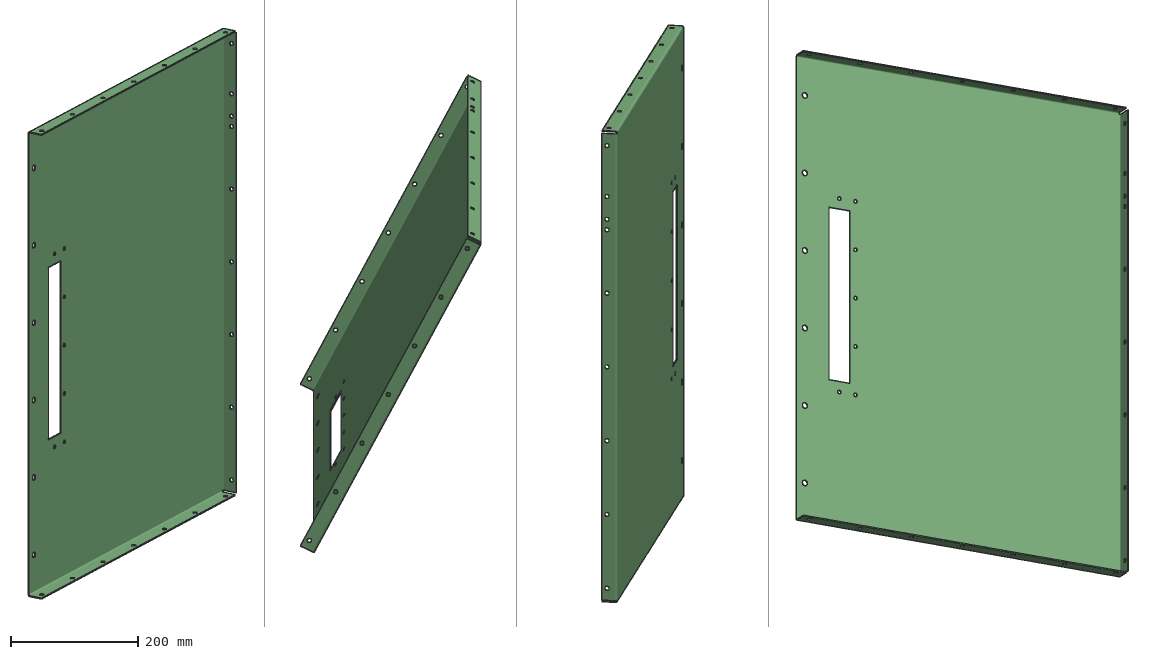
import cadquery as cq

depth = 25.0
width = 578.9
height = 775.0
thickness = 2.0
bend_radius_inner = 2.0
bend_radius_outer = bend_radius_inner + thickness
corner_notch = bend_radius_outer

flange_hole_diameter = 6.6
flange_hole_x = 16.5
side_hole_pitch = 121.25
side_hole_steps = (-3, -2, -1, 0, 1, 3)
side_extra_hole_z = (225.5, 242.5, 280.0)
top_hole_pitch = 90.9
top_hole_count = 7
top_hole_row_center_y = -corner_notch / 2

edge_hole_diameter = 9.0
edge_hole_inset = 15.0
edge_hole_pitch = 129.0
edge_hole_count = 6

window_width = 37.0
window_height = 287.0
window_y = -213.0
small_hole_diameter = 5.8
small_hole_pitch = 80.5
small_column_offset = 28.7
small_column_y = window_y + small_column_offset
small_column_steps = (-2, -1, 0, 1, 2)
window_end_steps = (-2, 2)

y_open = -width / 2
y_side = width / 2
z_top = height / 2


def hollow_box(offset, edge_radius):
    """Box inset by `offset` on the face and flanged edges, open-sided to -Y and +X."""
    x_size = depth - offset
    y_size = width - offset
    z_size = height - 2 * offset
    box = cq.Workplane("XY").box(x_size, y_size, z_size, centered=(False, False, True))
    box = box.translate((offset, y_open, 0))
    bend_edges = box.edges("(<X and |Y) or (<X and >Y)")
    return bend_edges.fillet(edge_radius)


def folded_sheet():
    """Panel face with its bent flanges: an outer box less a box one thickness further in."""
    return hollow_box(0, bend_radius_outer).cut(hollow_box(thickness, bend_radius_inner))


def corner_notches():
    """Square columns along X that separate the +Y flange from the top and bottom flanges."""
    size = 2 * corner_notch
    corners = [(y_side, z_top), (y_side, -z_top)]
    return cq.Workplane("YZ").pushPoints(corners).rect(size, size).extrude(depth)


def row(count, pitch):
    """Evenly spaced positions centred on zero."""
    return [(i - (count - 1) / 2) * pitch for i in range(count)]


def face_holes(points, diameter):
    """Cylinders along X through the panel face at (y, z) points."""
    return cq.Workplane("YZ").pushPoints(points).circle(diameter / 2).extrude(bend_radius_outer)


def side_flange_holes():
    heights = [step * side_hole_pitch for step in side_hole_steps]
    heights += side_extra_hole_z
    points = [(flange_hole_x, z) for z in heights]
    holes = cq.Workplane("XZ", origin=(0, y_side, 0)).pushPoints(points)
    return holes.circle(flange_hole_diameter / 2).extrude(bend_radius_outer)


def top_flange_holes():
    """Holes drilled in line through both the top and the bottom flange."""
    points = [(flange_hole_x, top_hole_row_center_y + y) for y in row(top_hole_count, top_hole_pitch)]
    holes = cq.Workplane("XY", origin=(0, 0, -z_top)).pushPoints(points)
    return holes.circle(flange_hole_diameter / 2).extrude(height)


def edge_holes():
    points = [(y_open + edge_hole_inset, z) for z in row(edge_hole_count, edge_hole_pitch)]
    return face_holes(points, edge_hole_diameter)


def small_holes():
    points = [(small_column_y, step * small_hole_pitch) for step in small_column_steps]
    points += [(window_y, step * small_hole_pitch) for step in window_end_steps]
    return face_holes(points, small_hole_diameter)


def window():
    outline = cq.Workplane("YZ").center(window_y, 0).rect(window_width, window_height)
    return outline.extrude(bend_radius_outer)


result = (
    folded_sheet()
    .cut(corner_notches())
    .cut(side_flange_holes())
    .cut(top_flange_holes())
    .cut(edge_holes())
    .cut(small_holes())
    .cut(window())
)